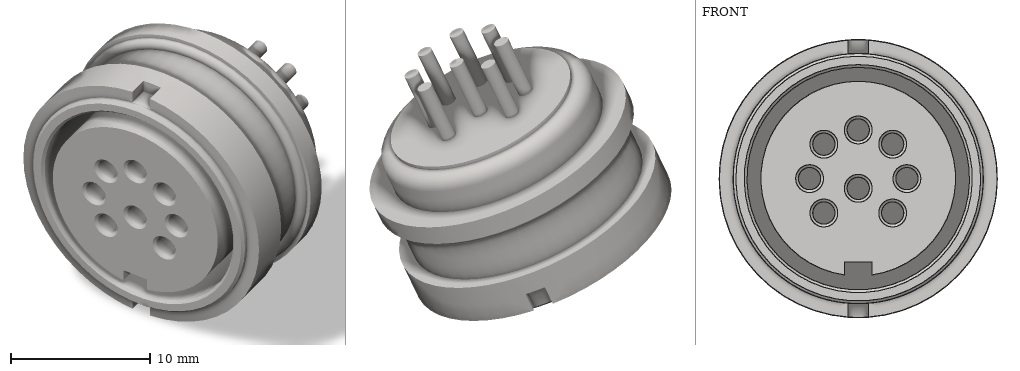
import cadquery as cq
import math


insert_radius = 7.0
insert_length = 12.5
key_width = 2.0
key_floor_z = -6.0

shell_front = 0.3
shell_back = 12.2
tube_radius = 9.0
bore_radius = 8.0
rim_chamfer = 0.2
bore_floor = 8.0
flange_front = 7.8
flange_thickness = 1.5
flange_radius = 10.0
rear_radius = 8.2
rear_fillet = 1.0

seal_section_radius = 0.5
seal_center_radius = 9.2

nut_front = 0.8
nut_thickness = 3.0
nut_radius = flange_radius
notch_width = 1.5
notch_depth = 1.5

contact_circle_radius = 3.5
contact_angles = [-45, 0, 45, 90, 135, 180, 225]
center_contact_z = -0.7
socket_radius = 0.8
socket_chamfer = 0.2
socket_depth = 5.0
pin_diameter = 1.1
pin_tip = 17.0


def cylinder(radius, start, end, x=0.0, z=0.0):
    """Solid cylinder parallel to Y, reaching from Y = start to Y = end."""
    axis_start = cq.Vector(x, start, z)
    return cq.Workplane(cq.Solid.makeCylinder(radius, end - start, axis_start, cq.Vector(0, 1, 0)))


def chamfered_bore(radius, chamfer, start, depth, x=0.0, z=0.0):
    """Cutting body for a blind hole along Y whose mouth is chamfered."""
    axis_start = cq.Vector(x, start, z)
    mouth = cq.Solid.makeCone(radius + chamfer, radius, chamfer, axis_start, cq.Vector(0, 1, 0))
    return cylinder(radius, start, start + depth, x, z).union(cq.Workplane(mouth))


def make_insert():
    """Insert core with its key slot running as deep as the shell bore."""
    core = cylinder(insert_radius, 0, insert_length)
    slot_height = insert_radius + key_floor_z
    slot = cq.Workplane().box(key_width, bore_floor, slot_height, centered=(True, False, False))
    return core.cut(slot.translate((0, 0, -insert_radius)))


def make_shell():
    """Tube with chamfered rim, flange and rounded rear cap, hollow at the front."""
    flange_back = flange_front + flange_thickness
    tube = cylinder(tube_radius, shell_front, flange_back).faces("<Y").chamfer(rim_chamfer)
    flange = cylinder(flange_radius, flange_front, flange_back)
    rear = cylinder(rear_radius, flange_front, shell_back).faces(">Y").edges().fillet(rear_fillet)
    bore = chamfered_bore(bore_radius, rim_chamfer, shell_front, bore_floor - shell_front)
    return tube.union(flange).union(rear).cut(bore)


def make_seal():
    """Round-section sealing ring."""
    center = cq.Vector(0, flange_front, 0)
    return cq.Workplane(
        cq.Solid.makeTorus(seal_center_radius, seal_section_radius, center, cq.Vector(0, 1, 0))
    )


def make_nut():
    """Ring nut with a flat-floored notch at top and bottom of its front face."""
    nut_back = nut_front + nut_thickness
    nut = cylinder(nut_radius, nut_front, nut_back).cut(cylinder(tube_radius, nut_front, nut_back))
    notch_height = nut_radius - tube_radius
    notch = cq.Workplane().box(notch_width, notch_depth, notch_height, centered=(True, False, False))
    notch = notch.translate((0, nut_front, tube_radius))
    return nut.cut(notch).cut(notch.mirror("XY"))


def contact_positions():
    """X, Z places of the contacts: seven on a circle and one near the middle."""
    on_circle = [
        (
            contact_circle_radius * math.cos(math.radians(angle)),
            contact_circle_radius * math.sin(math.radians(angle)),
        )
        for angle in contact_angles
    ]
    return on_circle + [(0.0, center_contact_z)]


result = make_shell().union(make_seal()).union(make_nut()).union(make_insert())
for contact_x, contact_z in contact_positions():
    socket = chamfered_bore(socket_radius, socket_chamfer, 0, socket_depth, contact_x, contact_z)
    pin = cylinder(pin_diameter / 2, insert_length, pin_tip, contact_x, contact_z)
    result = result.cut(socket).union(pin)